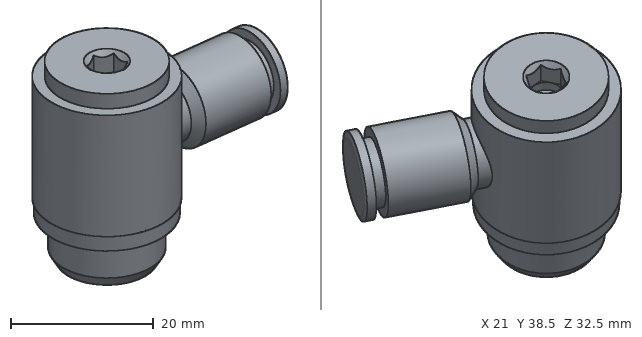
import cadquery as cq
import math

thread_end_radius = 7.25
thread_radius = 8.28
collar_radius = 10.28
body_diameter = 21.0
body_radius = body_diameter / 2
cap_radius = 8.75
thread_chamfer_top = 1.8
thread_top = 7.5
collar_top = 10.0
body_top = 30.03
total_height = 32.5

tube_height = 20.05
neck_radius = 5.05
sleeve_radius = 6.5
ring_face_radius = 5.6
neck_end = 11.25
sleeve_start = 12.7
sleeve_end = 24.68
ring_start = 26.4
ring_chamfer_start = 27.75
total_length = 38.5
tube_end = total_length - body_radius

hex_across_flats = 5.0
hex_across_corners = hex_across_flats / math.cos(math.radians(30))
hex_depth = 3.58
countersink_diameter = 6.5
countersink_radius = countersink_diameter / 2
countersink_depth = 0.92
drill_radius = hex_across_flats / 2
drill_straight_depth = 1.55
drill_tip_slope = 30.0
drill_tip_depth = drill_radius * math.tan(math.radians(drill_tip_slope))


def turned(profile):
    """Revolve a closed (radius, height) profile about the Z axis."""
    return cq.Workplane("XZ").polyline(profile).close().revolve(360, (0, 0), (0, 1))


def make_body():
    return turned([
        (0, 0),
        (thread_end_radius, 0),
        (thread_radius, thread_chamfer_top),
        (thread_radius, thread_top),
        (collar_radius, thread_top),
        (collar_radius, collar_top),
        (body_radius, collar_top),
        (body_radius, body_top),
        (cap_radius, body_top),
        (cap_radius, total_height),
        (0, total_height),
    ])


def make_tube_connector():
    upright = turned([
        (0, 0),
        (neck_radius, 0),
        (neck_radius, neck_end),
        (sleeve_radius, sleeve_start),
        (sleeve_radius, sleeve_end),
        (neck_radius, sleeve_end),
        (neck_radius, ring_start),
        (sleeve_radius, ring_start),
        (sleeve_radius, ring_chamfer_start),
        (ring_face_radius, tube_end),
        (0, tube_end),
    ])
    return upright.rotate((0, 0, 0), (1, 0, 0), -90).translate((0, 0, tube_height))


def make_socket():
    hex_floor = total_height - hex_depth
    hexagon = cq.Workplane("XY").workplane(offset=hex_floor).polygon(6, hex_across_corners).extrude(hex_depth)
    countersink = turned([
        (0, total_height - countersink_depth),
        (drill_radius, total_height - countersink_depth),
        (countersink_radius, total_height),
        (0, total_height),
    ])
    drill_floor = hex_floor - drill_straight_depth
    drill_hole = turned([
        (0, drill_floor - drill_tip_depth),
        (drill_radius, drill_floor),
        (drill_radius, hex_floor),
        (0, hex_floor),
    ])
    return hexagon, countersink, drill_hole


result = make_body().union(make_tube_connector())
for cutter in make_socket():
    result = result.cut(cutter)